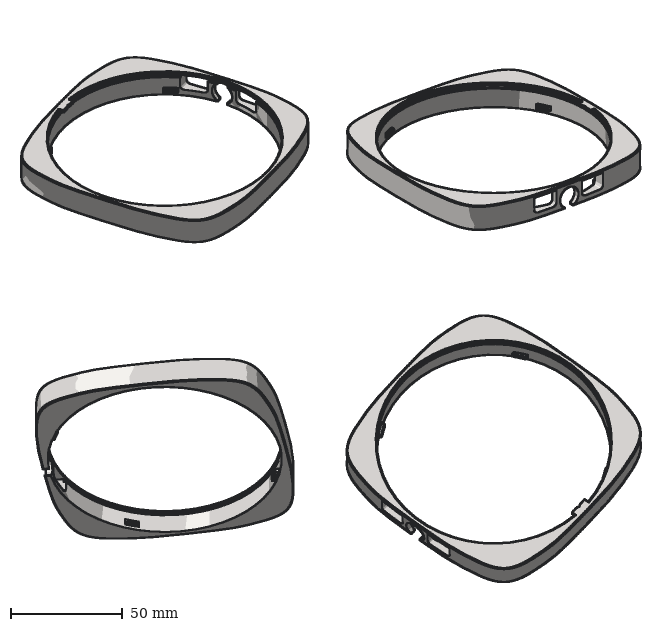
import cadquery as cq

width = 110.0
height = 12.3
half_width = width / 2
corner_reach = 46.6
shoulder_along = 31.9
shoulder_out = 52.8
outer_chamfer = 0.4

bore_radius = 52.2
lip_chamfer = 0.5
lip_height = 1.3
groove_height = 1.5
groove_depth = 0.9
lip_bottom = height - lip_height
groove_bottom = lip_bottom - groove_height

wall_cut_start = 44.0
wall_cut_length = 16.5
window_center_x = 13.4
window_width = 12.3
window_bottom = 3.1
window_top = lip_bottom
window_corner_radius = 2.0
port_radius = 5.2
port_center_z = 5.1
port_mouth_width = 4.8

clip_count = 4
clip_inner_radius = 50.6
clip_offset = 23.1
clip_blunt_reach = 44.1
clip_width = 5.7
clip_bottom = 1.9
clip_top = 3.8
clip_chamfer = 0.4
clip_overlap = 0.5

tab_inner_x = -50.3
tab_center_y = 1.3
tab_width = 8.8
notch_depth = 0.4
notch_width = 2.2


def outline():
    """Closed outline of four equal splines that meet at the middles of the sides."""
    quarter = [
        (half_width, 0),
        (shoulder_out, shoulder_along),
        (corner_reach, corner_reach),
        (shoulder_along, shoulder_out),
        (0, half_width),
    ]
    edges = []
    for turn in range(4):
        points = [cq.Vector(x, y, 0) for x, y in quarter]
        edge = cq.Edge.makeSpline(points, tangents=[cq.Vector(0, 1, 0), cq.Vector(-1, 0, 0)])
        edges.append(edge.rotate(cq.Vector(0, 0, 0), cq.Vector(0, 0, 1), 90 * turn))
    return cq.Wire.assembleEdges(edges)


def body():
    solid = cq.Workplane(cq.Solid.extrudeLinear(outline(), [], cq.Vector(0, 0, height)))
    return solid.faces("<Z or >Z").edges().chamfer(outer_chamfer)


def revolve_profile(points):
    """Revolve (radius, z) points about the Z axis."""
    return cq.Workplane("XZ").polyline(points).close().revolve(360, (0, 0, 0), (0, 1, 0))


def opening():
    rim_radius = bore_radius + lip_chamfer
    groove_radius = bore_radius + groove_depth
    return revolve_profile([
        (0, 0),
        (bore_radius, 0),
        (bore_radius, groove_bottom),
        (groove_radius, groove_bottom),
        (groove_radius, lip_bottom),
        (bore_radius, lip_bottom),
        (bore_radius, height - lip_chamfer),
        (rim_radius, height),
        (0, height),
    ])


def window(center_x):
    window_height = window_top - window_bottom
    return (
        cq.Workplane("XY")
        .box(window_width, wall_cut_length, window_height, centered=(True, False, False))
        .edges("<Z and |Y")
        .fillet(window_corner_radius)
        .translate((center_x, wall_cut_start, window_bottom))
    )


def port():
    """Round port with a mouth that is open at the bottom of the wall."""
    hole = (
        cq.Workplane("XZ", origin=(0, wall_cut_start, port_center_z))
        .circle(port_radius)
        .extrude(-wall_cut_length)
    )
    mouth = cq.Workplane("XY").box(
        port_mouth_width, wall_cut_length, port_center_z, centered=(True, False, False)
    )
    return hole.union(mouth.translate((0, wall_cut_start, 0)))


def clip(angle):
    """Piece of an inner ring with both ends parallel to a side of the frame."""
    outer = bore_radius + clip_overlap
    ring = revolve_profile([
        (outer, clip_bottom),
        (clip_inner_radius + clip_chamfer, clip_bottom),
        (clip_inner_radius, clip_bottom + clip_chamfer),
        (clip_inner_radius, clip_top - clip_chamfer),
        (clip_inner_radius + clip_chamfer, clip_top),
        (outer, clip_top),
    ])
    slab = cq.Workplane("XY").box(half_width, clip_width, height, centered=(False, True, False))
    slab = slab.translate((clip_blunt_reach, clip_offset, 0))
    return ring.intersect(slab).rotate((0, 0, 0), (0, 0, 1), angle)


def tab():
    wall_x = -bore_radius - clip_overlap
    low_y = tab_center_y - tab_width / 2
    high_y = tab_center_y + tab_width / 2
    return (
        cq.Workplane("XY", origin=(0, 0, lip_bottom))
        .polyline([
            (wall_x, low_y),
            (tab_inner_x, low_y),
            (tab_inner_x, tab_center_y - notch_width / 2),
            (tab_inner_x - notch_depth, tab_center_y),
            (tab_inner_x, tab_center_y + notch_width / 2),
            (tab_inner_x, high_y),
            (wall_x, high_y),
        ])
        .close()
        .extrude(lip_height)
    )


frame = body().cut(opening())
for side in (-1, 1):
    frame = frame.cut(window(side * window_center_x))
frame = frame.cut(port())
for index in range(clip_count):
    frame = frame.union(clip(index * 360 / clip_count))
result = frame.union(tab())